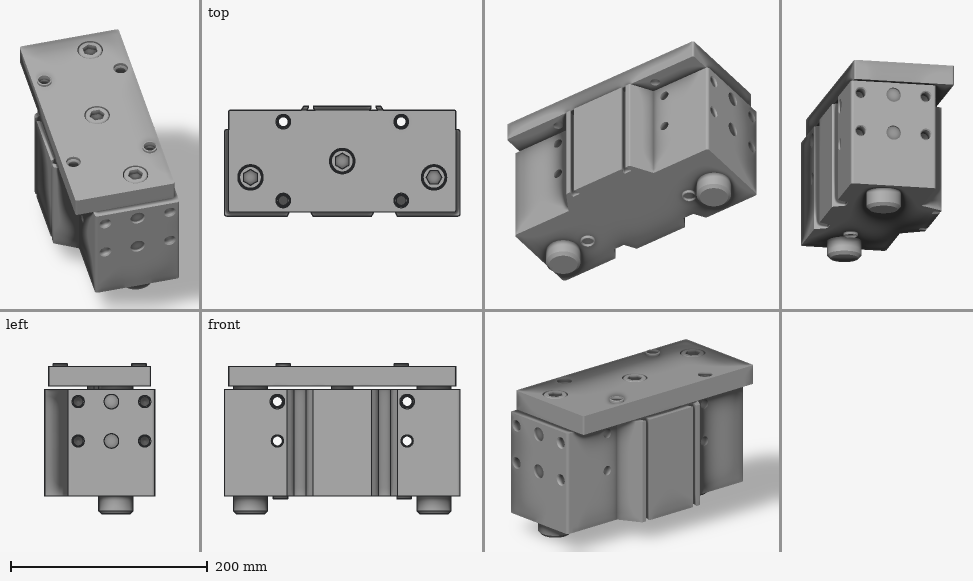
import cadquery as cq
import math


WIDTH = 240.0
FRONT_Y = -56.2
REAR_Y = 56.0
HOUSING_HEIGHT = 108.7
WING_REAR_Y = 32.5
CORNER_RADIUS = 3.0
RIDGE_TOP_HALF = 39.4
RIDGE_BASE_HALF = 52.8
RIDGE_EDGE_RADIUS = 2.0
GROOVE_INNER, GROOVE_OUTER = 29.8, 56.2
GROOVE_SLOPE = math.radians(30)
GROOVE_DEPTH = 12.5
SLOT_X = 32.0
SLOT_MOUTH = 5.0
SLOT_LIP = 1.5
SLOT_SHOULDER = 4.5
SLOT_WIDTH = 8.2
SLOT_DEPTH = 7.7
RIM_OUTER_DIA, RIM_INNER_DIA = 102.0, 100.0
RIM_DEPTH = 1.0

TAP_DIA = 10.0
TAP_MOUTH_DIA = 12.5
TAP_DEPTH = 14.5
DRILL_POINT_ANGLE = 118.0
SEAT_DIA = 15.0
SEAT_DEPTH = 3.0
LOWER_HOLE_Z = 56.2
HOLE_PITCH_Z = 40.0
UPPER_HOLE_Z = LOWER_HOLE_Z + HOLE_PITCH_Z
FRONT_HOLE_X = 66.0
SIDE_SEAT_Y = -12.0
SIDE_HOLE_OFFSET = 33.8

GAP = 3.0
PLATE_WIDTH = 231.4
PLATE_DEPTH = 104.0
PLATE_THICKNESS = 20.2
PLATE_CORNER_RADIUS = 2.0
PLATE_HOLE_X, PLATE_HOLE_Y = 60.0, 40.0
PLATE_BOTTOM_Z = HOUSING_HEIGHT + GAP
PLATE_TOP_Z = PLATE_BOTTOM_Z + PLATE_THICKNESS

COLLAR_HEIGHT = 3.0
COLLAR_BORE_DIA = TAP_MOUTH_DIA
COLLAR_CHAMFER = 0.5
BOTTOM_COLLAR_X = 63.0

GUIDE_DIA = 35.0
GUIDE_X, GUIDE_Y = 93.4, -16.5
GUIDE_PROJECTION = 18.0
GUIDE_CHAMFER = 3.0
PISTON_DIA = 25.0
PISTON_FLATS = 22.3
PISTON_BORE_DEPTH = 72.0

HEAD_DIA = 24.0
HEAD_RECESS_DIA = 26.0
HEAD_HEIGHT = 12.0
HEAD_CHAMFER = 1.0
SHANK_DIA = 16.5
SHANK_REACH = 24.0
HEX_ACROSS_FLATS = 14.0
HEX_DEPTH = 6.0

GUIDE_POINTS = [(-GUIDE_X, GUIDE_Y), (GUIDE_X, GUIDE_Y)]
PISTON_POINT = (0, 0)
ROD_POINTS = GUIDE_POINTS + [PISTON_POINT]


def cylinder(dia, height, base, direction=(0, 0, 1)):
    """A cylinder standing on the point `base`, along `direction`."""
    return cq.Workplane(cq.Solid.makeCylinder(dia / 2, height, cq.Vector(*base), cq.Vector(*direction)))


def cone(base_dia, top_dia, height, base, direction):
    """A cone or frustum standing on the point `base`, along `direction`."""
    return cq.Workplane(
        cq.Solid.makeCone(base_dia / 2, top_dia / 2, height, cq.Vector(*base), cq.Vector(*direction))
    )


def countersink(mouth, direction):
    """The 45 degree mouth of a tapped hole."""
    return cone(TAP_MOUTH_DIA, TAP_DIA, (TAP_MOUTH_DIA - TAP_DIA) / 2, mouth, direction)


def extrude_up(outline, height):
    return cq.Workplane("XY").polyline(outline).close().extrude(height)


def housing_blank():
    """The extruded profile: two wings with a sloping ridge behind them."""
    half = WIDTH / 2
    left_side = [
        (-half, FRONT_Y),
        (-half, WING_REAR_Y),
        (-RIDGE_BASE_HALF, WING_REAR_Y),
        (-RIDGE_TOP_HALF, REAR_Y),
    ]
    right_side = [(-x, y) for x, y in reversed(left_side)]
    blank = extrude_up(left_side + right_side, HOUSING_HEIGHT)
    blank = blank.edges("|Z and (<X or >X)").fillet(CORNER_RADIUS)
    return blank.edges("|Z and >Y").fillet(RIDGE_EDGE_RADIUS)


def front_groove(side):
    """A full-height groove in the front face, wider at its mouth."""
    inset = GROOVE_DEPTH * math.tan(GROOVE_SLOPE)
    floor_y = FRONT_Y + GROOVE_DEPTH
    outline = [
        (side * GROOVE_INNER, FRONT_Y),
        (side * GROOVE_OUTER, FRONT_Y),
        (side * (GROOVE_OUTER - inset), floor_y),
        (side * (GROOVE_INNER + inset), floor_y),
    ]
    return extrude_up(outline, HOUSING_HEIGHT)


def sensor_slot(side):
    """A full-height slot in the rear ridge, widening behind its lips."""
    left_half = [
        (-SLOT_MOUTH / 2, REAR_Y),
        (-SLOT_MOUTH / 2, REAR_Y - SLOT_LIP),
        (-SLOT_WIDTH / 2, REAR_Y - SLOT_SHOULDER),
        (-SLOT_WIDTH / 2, REAR_Y - SLOT_DEPTH),
    ]
    right_half = [(-x, y) for x, y in reversed(left_half)]
    return extrude_up(left_half + right_half, HOUSING_HEIGHT).translate((side * SLOT_X, 0, 0))


def front_holes(side):
    """Two through holes: the upper with a sleeve seat, the lower countersunk."""
    x = side * FRONT_HOLE_X
    length = WING_REAR_Y - FRONT_Y
    inward = (0, 1, 0)
    upper = (x, FRONT_Y, UPPER_HOLE_Z)
    lower = (x, FRONT_Y, LOWER_HOLE_Z)
    return (
        cylinder(TAP_DIA, length, upper, inward)
        .union(cylinder(SEAT_DIA, SEAT_DEPTH, upper, inward))
        .union(countersink((x, FRONT_Y + SEAT_DEPTH, UPPER_HOLE_Z), inward))
        .union(cylinder(TAP_DIA, length, lower, inward))
        .union(countersink(lower, inward))
    )


def blind_tapped_hole(mouth, direction):
    point_height = TAP_DIA / 2 / math.tan(math.radians(DRILL_POINT_ANGLE / 2))
    bottom = cq.Vector(*mouth) + cq.Vector(*direction) * TAP_DEPTH
    return (
        cylinder(TAP_DIA, TAP_DEPTH, mouth, direction)
        .union(countersink(mouth, direction))
        .union(cone(TAP_DIA, 0, point_height, bottom.toTuple(), direction))
    )


def side_holes(side):
    """Two rows of holes in an end face: a sleeve seat between two tapped holes."""
    x = side * WIDTH / 2
    inward = (-side, 0, 0)
    cutter = cq.Workplane()
    for z in (LOWER_HOLE_Z, UPPER_HOLE_Z):
        cutter = cutter.add(cylinder(SEAT_DIA, SEAT_DEPTH, (x, SIDE_SEAT_Y, z), inward))
        for offset in (-SIDE_HOLE_OFFSET, SIDE_HOLE_OFFSET):
            cutter = cutter.add(blind_tapped_hole((x, SIDE_SEAT_Y + offset, z), inward))
    return cutter.combine()


def rim_groove():
    return (
        cq.Workplane("XY", origin=(0, 0, HOUSING_HEIGHT - RIM_DEPTH))
        .circle(RIM_OUTER_DIA / 2)
        .circle(RIM_INNER_DIA / 2)
        .extrude(RIM_DEPTH)
    )


def collar(x, y, face_z, up):
    """A short chamfered ring standing on the face at `face_z`; `up` is 1 or -1."""
    ring = cylinder(SEAT_DIA, COLLAR_HEIGHT, (x, y, 0)).faces(">Z").edges().chamfer(COLLAR_CHAMFER)
    ring = ring.cut(cylinder(COLLAR_BORE_DIA, COLLAR_HEIGHT, (x, y, 0)))
    if up < 0:
        ring = ring.mirror("XY")
    return ring.translate((0, 0, face_z))


def make_housing():
    body = housing_blank()
    for side in (-1, 1):
        body = body.cut(front_groove(side))
        body = body.cut(sensor_slot(side))
        body = body.cut(front_holes(side))
        body = body.cut(side_holes(side))
    body = body.cut(rim_groove())
    for x, y in GUIDE_POINTS:
        body = body.cut(cylinder(GUIDE_DIA, HOUSING_HEIGHT, (x, y, 0)))
    piston_bore_floor = (*PISTON_POINT, HOUSING_HEIGHT - PISTON_BORE_DEPTH)
    body = body.cut(cylinder(PISTON_DIA, PISTON_BORE_DEPTH, piston_bore_floor))
    for side in (-1, 1):
        body = body.union(collar(side * BOTTOM_COLLAR_X, GUIDE_Y, 0, -1))
    return body


def make_plate():
    """The yoke plate, with a collar on one diagonal pair of holes and a seat in the other pair."""
    plate = (
        cq.Workplane("XY", origin=(0, 0, PLATE_BOTTOM_Z))
        .rect(PLATE_WIDTH, PLATE_DEPTH)
        .extrude(PLATE_THICKNESS)
        .edges("|Z")
        .fillet(PLATE_CORNER_RADIUS)
    )
    for x_side in (-1, 1):
        for y_side in (-1, 1):
            x, y = x_side * PLATE_HOLE_X, y_side * PLATE_HOLE_Y
            has_collar = x_side == y_side
            recess_dia = COLLAR_BORE_DIA if has_collar else SEAT_DIA
            plate = plate.cut(cylinder(TAP_DIA, PLATE_THICKNESS, (x, y, PLATE_BOTTOM_Z)))
            seat_floor = (x, y, PLATE_TOP_Z - SEAT_DEPTH)
            plate = plate.cut(cylinder(recess_dia, SEAT_DEPTH, seat_floor))
            plate = plate.cut(countersink(seat_floor, (0, 0, -1)))
            if has_collar:
                plate = plate.union(collar(x, y, PLATE_TOP_Z, 1))
    for x, y in ROD_POINTS:
        plate = plate.cut(cylinder(SHANK_DIA, PLATE_THICKNESS, (x, y, PLATE_BOTTOM_Z)))
        plate = plate.cut(cylinder(HEAD_RECESS_DIA, HEAD_HEIGHT, (x, y, PLATE_TOP_Z - HEAD_HEIGHT)))
    return plate


def screw_hole(x, y):
    """The blind hole for a screw shank in the top end of a rod."""
    return cylinder(SHANK_DIA, SHANK_REACH, (x, y, PLATE_BOTTOM_Z - SHANK_REACH))


def make_guide_rod(x, y):
    rod = cylinder(GUIDE_DIA, PLATE_BOTTOM_Z + GUIDE_PROJECTION, (x, y, -GUIDE_PROJECTION))
    return rod.faces("<Z").edges().chamfer(GUIDE_CHAMFER).cut(screw_hole(x, y))


def make_piston_rod():
    """The round rod, with wrench flats on its length above the housing."""
    x, y = PISTON_POINT
    shaft = cylinder(PISTON_DIA, PISTON_BORE_DEPTH, (x, y, HOUSING_HEIGHT - PISTON_BORE_DEPTH))
    neck = cylinder(PISTON_DIA, GAP, (x, y, HOUSING_HEIGHT)).intersect(
        cq.Workplane("XY", origin=(x, y, HOUSING_HEIGHT)).rect(PISTON_FLATS, PISTON_DIA).extrude(GAP)
    )
    return shaft.union(neck).cut(screw_hole(x, y))


def make_screw(x, y, hex_angle):
    """A socket head screw, flush with the plate top; `hex_angle` turns its socket."""
    head = cylinder(HEAD_DIA, HEAD_HEIGHT, (x, y, PLATE_TOP_Z - HEAD_HEIGHT))
    head = head.faces(">Z").edges().chamfer(HEAD_CHAMFER)
    shank_length = PLATE_THICKNESS - HEAD_HEIGHT + SHANK_REACH
    shank = cylinder(SHANK_DIA, shank_length, (x, y, PLATE_BOTTOM_Z - SHANK_REACH))
    hex_across_corners = HEX_ACROSS_FLATS / math.cos(math.pi / 6)
    socket = (
        cq.Workplane("XY")
        .polygon(6, hex_across_corners)
        .extrude(HEX_DEPTH)
        .rotate((0, 0, 0), (0, 0, 1), hex_angle)
        .translate((x, y, PLATE_TOP_Z - HEX_DEPTH))
    )
    return head.union(shank).cut(socket)


housing = make_housing()
plate = make_plate()
guide_rods = [make_guide_rod(x, y) for x, y in GUIDE_POINTS]
piston_rod = make_piston_rod()
HEX_ANGLES = [30, 0, 30]
screws = [make_screw(x, y, angle) for (x, y), angle in zip(ROD_POINTS, HEX_ANGLES)]

bodies = [housing, plate, *guide_rods, piston_rod, *screws]
result = cq.Compound.makeCompound([body.val() for body in bodies])